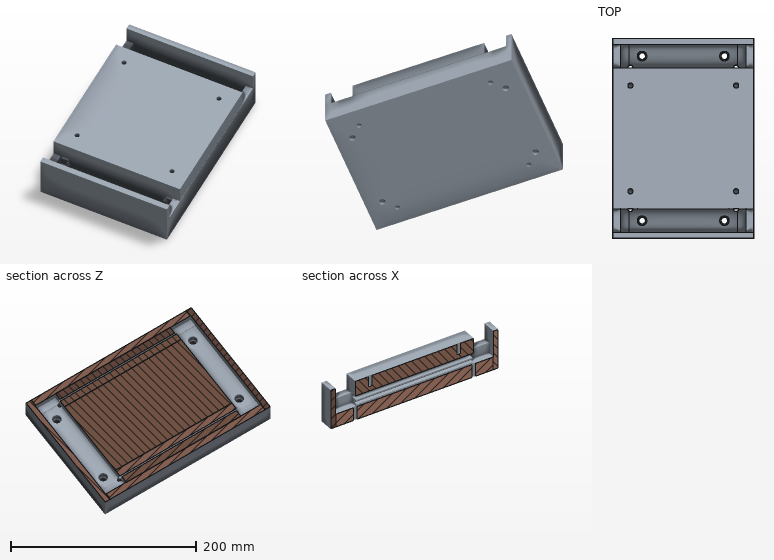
import cadquery as cq
import math

WIDTH = 152.5
LENGTH = 216.0
HEIGHT = 50.7

END_THICKNESS = 6.5

BASE_LENGTH = LENGTH - 2 * END_THICKNESS
WALL_TOP = 30.5
WALL_THICKNESS = 8.6
FLOOR_WIDTH = 117.7
FLOOR_DEPTH = 13.8
FLOOR_TOP = WALL_TOP - FLOOR_DEPTH
LEDGE_STEP = 0.6
LEDGE_TOP = FLOOR_TOP + LEDGE_STEP
CHANNEL_WIDTH = WIDTH - 2 * WALL_THICKNESS

MOUNT_PITCH_X = 89.0
MOUNT_PITCH_Y = 177.7
MOUNT_DIAMETER = 7.1
MOUNT_BORE_DIAMETER = 10.4
MOUNT_BORE_DEPTH = 6.5
ACCESS_DIAMETER = 5.5

CARRIAGE_GAP = 0.6
CARRIAGE_BOTTOM = WALL_TOP + CARRIAGE_GAP
CARRIAGE_LENGTH = WIDTH
STEP_DEPTH = 5.0
STEP_BOTTOM = CARRIAGE_BOTTOM - STEP_DEPTH
CARRIAGE_HOLE_PITCH = 114.2
CARRIAGE_HOLE_DIAMETER = 5.6
CARRIAGE_HOLE_DEPTH = 13.0
DRILL_POINT_ANGLE = 118.0

RAIL_WIDTH = 8.5
RAIL_HEIGHT = 8.2
BASE_RAIL_LENGTH = 149.8
CARRIAGE_RAIL_LENGTH = CARRIAGE_LENGTH
RAIL_GAP = 1.5
GROOVE_DEPTH = 2.2
GROOVE_HALF_HEIGHT = GROOVE_DEPTH
BASE_RAIL_OUTER = CHANNEL_WIDTH / 2
BASE_RAIL_INNER = BASE_RAIL_OUTER - RAIL_WIDTH
CARRIAGE_RAIL_OUTER = BASE_RAIL_INNER - RAIL_GAP
CARRIAGE_RAIL_INNER = CARRIAGE_RAIL_OUTER - RAIL_WIDTH
CARRIAGE_RAIL_BOTTOM = STEP_BOTTOM - RAIL_HEIGHT


def block(width, length, bottom, top):
    """Box centred on the Z axis, from height bottom to height top."""
    return cq.Workplane("XY").workplane(offset=bottom).rect(width, length).extrude(top - bottom)


def make_base():
    body = block(WIDTH, BASE_LENGTH, 0, WALL_TOP)
    body = body.cut(block(CHANNEL_WIDTH, BASE_LENGTH, LEDGE_TOP, WALL_TOP))
    body = body.cut(block(FLOOR_WIDTH, BASE_LENGTH, FLOOR_TOP, LEDGE_TOP))
    floor = cq.Workplane("XY").workplane(offset=FLOOR_TOP)
    mounts = floor.rect(MOUNT_PITCH_X, MOUNT_PITCH_Y, forConstruction=True).vertices()
    body = body.cut(mounts.circle(MOUNT_DIAMETER / 2).extrude(-FLOOR_TOP))
    body = body.cut(mounts.circle(MOUNT_BORE_DIAMETER / 2).extrude(-MOUNT_BORE_DEPTH))
    access = cq.Workplane("XY").rect(CARRIAGE_HOLE_PITCH, CARRIAGE_LENGTH, forConstruction=True).vertices()
    return body.cut(access.circle(ACCESS_DIAMETER / 2).extrude(LEDGE_TOP))


def make_end_plate(side):
    """End plate at the +Y end (side = 1) or the -Y end (side = -1)."""
    return block(WIDTH, END_THICKNESS, 0, HEIGHT).translate((0, side * (LENGTH - END_THICKNESS) / 2, 0))


def make_carriage():
    body = block(WIDTH, CARRIAGE_LENGTH, CARRIAGE_BOTTOM, HEIGHT)
    body = body.union(block(2 * CARRIAGE_RAIL_OUTER, CARRIAGE_LENGTH, STEP_BOTTOM, CARRIAGE_BOTTOM))
    body = body.union(block(2 * CARRIAGE_RAIL_INNER, CARRIAGE_LENGTH, CARRIAGE_RAIL_BOTTOM, STEP_BOTTOM))
    radius = CARRIAGE_HOLE_DIAMETER / 2
    point_depth = radius / math.tan(math.radians(DRILL_POINT_ANGLE / 2))
    drill = (
        cq.Workplane("XZ")
        .moveTo(0, 0)
        .lineTo(radius, 0)
        .lineTo(radius, -CARRIAGE_HOLE_DEPTH)
        .lineTo(0, -CARRIAGE_HOLE_DEPTH - point_depth)
        .close()
        .revolve(360, (0, 0, 0), (0, 1, 0))
    )
    for side_x in (-1, 1):
        for side_y in (-1, 1):
            place = (side_x * CARRIAGE_HOLE_PITCH / 2, side_y * CARRIAGE_HOLE_PITCH / 2, HEIGHT)
            body = body.cut(drill.translate(place))
    return body


def make_rail(back_x, face_x, bottom, length):
    """Rail along Y with a flat back at back_x and a V groove in its face at face_x."""
    groove_x = face_x + math.copysign(GROOVE_DEPTH, back_x - face_x)
    middle = bottom + RAIL_HEIGHT / 2
    outline = [
        (back_x, bottom),
        (face_x, bottom),
        (face_x, middle - GROOVE_HALF_HEIGHT),
        (groove_x, middle),
        (face_x, middle + GROOVE_HALF_HEIGHT),
        (face_x, bottom + RAIL_HEIGHT),
        (back_x, bottom + RAIL_HEIGHT),
    ]
    return cq.Workplane("XZ").polyline(outline).close().extrude(length / 2, both=True)


base = make_base()
carriage = make_carriage()
end_plates = [make_end_plate(side) for side in (-1, 1)]
base_rails = [
    make_rail(side * BASE_RAIL_OUTER, side * BASE_RAIL_INNER, LEDGE_TOP, BASE_RAIL_LENGTH)
    for side in (-1, 1)
]
carriage_rails = [
    make_rail(
        side * CARRIAGE_RAIL_INNER, side * CARRIAGE_RAIL_OUTER, CARRIAGE_RAIL_BOTTOM, CARRIAGE_RAIL_LENGTH
    )
    for side in (-1, 1)
]

bodies = [base, carriage, *end_plates, *base_rails, *carriage_rails]
result = cq.Compound.makeCompound([body.val() for body in bodies])